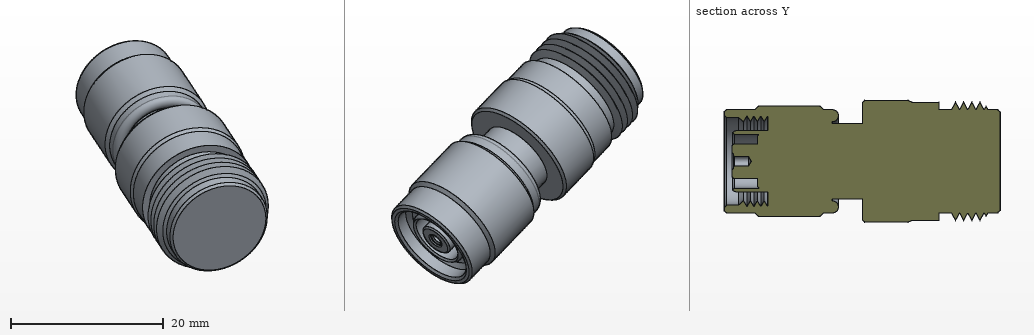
import cadquery as cq
import math

LENGTH = 36.1

NUT_RADIUS = 6.8
NUT_END_CHAMFER = 0.3
GRIP_RADIUS = 7.25
GRIP_START = 4.0
GRIP_END = 13.0
GRIP_BEVEL = GRIP_RADIUS - NUT_RADIUS
RIM_ROUND_START = 14.15
RIM_ROUND = 0.812

NECK_RADIUS = 4.98
BODY_START = 18.05
BODY_RADIUS = 7.995
BODY_CHAMFER = 0.32
BODY_END = 24.05
COLLAR_START = 24.6
COLLAR_END = 28.1
COLLAR_RADIUS = 7.75

TAIL_RADIUS = 6.8
TAIL_CHAMFER = 0.32
THREAD_START = 29.7
THREAD_SPAN = 4.25
THREAD_COUNT = 4
THREAD_PITCH = THREAD_SPAN / THREAD_COUNT
THREAD_CREST = 7.8
RUNOUT_WIDTH = 0.55
RUNOUT_CREST = 7.22

MOUTH_RADIUS = 6.03
MOUTH_CHAMFER = 0.32
BORE_RADIUS = MOUTH_RADIUS - MOUTH_CHAMFER
INNER_THREAD_START = 1.88
INNER_THREAD_LEAD = 0.65
INNER_THREAD_PITCH = 0.9
INNER_THREAD_COUNT = 4
INNER_THREAD_CREST = 5.13
INNER_THREAD_ROOT = 5.9
FIRST_CREST = INNER_THREAD_START + INNER_THREAD_LEAD
SOCKET_DEPTH = FIRST_CREST + (INNER_THREAD_COUNT - 0.5) * INNER_THREAD_PITCH

SLEEVE_START = 1.1
SLEEVE_RADIUS = 4.05
SLEEVE_RIM_RADIUS = 3.75
SLEEVE_ROUND_LENGTH = 0.58
SLEEVE_BORE = 3.5
SLEEVE_CHAMFER = SLEEVE_RIM_RADIUS - SLEEVE_BORE

INSULATOR_START = 4.35
INSULATOR_CHAMFER = 0.18
POST_RADIUS = 2.27
POST_CHAMFER = 0.2
POST_START = 1.0

CONTACT_HOLE_RADIUS = 1.1
CONTACT_RECESS = 0.18
CONTACT_RADIUS = 0.95
CONTACT_CHAMFER = 0.18
PIN_RADIUS = 0.58
PIN_DEPTH = 2.15
PIN_POINT_ANGLE = 118.0


def about_axis(outline):
    return outline.revolve(360, (0, 0, 0), (1, 0, 0))


def turned(points):
    """Solid of revolution about X from straight-sided (x, radius) outline points."""
    return about_axis(cq.Workplane("XY").polyline(points).close())


def cylinder(start, end, radius):
    return cq.Workplane("YZ", origin=(start, 0, 0)).circle(radius).extrude(end - start)


def coupling_nut():
    barrel_outline = (
        cq.Workplane("XY")
        .moveTo(0, 0)
        .lineTo(0, NUT_RADIUS - NUT_END_CHAMFER)
        .lineTo(NUT_END_CHAMFER, NUT_RADIUS)
        .lineTo(RIM_ROUND_START, NUT_RADIUS)
        .threePointArc(
            (RIM_ROUND_START + RIM_ROUND, NUT_RADIUS - RIM_ROUND),
            (RIM_ROUND_START, NUT_RADIUS - 2 * RIM_ROUND),
        )
        .lineTo(RIM_ROUND_START, 0)
        .close()
    )
    grip = turned([
        (GRIP_START, 0),
        (GRIP_START, NUT_RADIUS),
        (GRIP_START + GRIP_BEVEL, GRIP_RADIUS),
        (GRIP_END - GRIP_BEVEL, GRIP_RADIUS),
        (GRIP_END, NUT_RADIUS),
        (GRIP_END, 0),
    ])
    return about_axis(barrel_outline).union(grip)


def main_body():
    neck = cylinder(RIM_ROUND_START, BODY_START, NECK_RADIUS)
    body = turned([
        (BODY_START, 0),
        (BODY_START, BODY_RADIUS - BODY_CHAMFER),
        (BODY_START + BODY_CHAMFER, BODY_RADIUS),
        (BODY_END, BODY_RADIUS),
        (COLLAR_START, COLLAR_RADIUS),
        (COLLAR_END, COLLAR_RADIUS),
        (COLLAR_END, 0),
    ])
    return neck.union(body)


def thread_ring(start, width, crest, root):
    """Outline of one V-shaped thread ring after its near root."""
    return [(start + width / 2, crest), (start + width, root)]


def threaded_tail():
    outline = [(COLLAR_END, 0), (COLLAR_END, TAIL_RADIUS), (THREAD_START, TAIL_RADIUS)]
    for ring in range(THREAD_COUNT):
        ring_start = THREAD_START + ring * THREAD_PITCH
        outline += thread_ring(ring_start, THREAD_PITCH, THREAD_CREST, TAIL_RADIUS)
    runout_start = THREAD_START + THREAD_SPAN
    outline += thread_ring(runout_start, RUNOUT_WIDTH, RUNOUT_CREST, TAIL_RADIUS)
    outline += [
        (LENGTH - TAIL_CHAMFER, TAIL_RADIUS),
        (LENGTH, TAIL_RADIUS - TAIL_CHAMFER),
        (LENGTH, 0),
    ]
    return turned(outline)


def socket():
    outline = [
        (0, 0),
        (0, MOUTH_RADIUS),
        (MOUTH_CHAMFER, BORE_RADIUS),
        (INNER_THREAD_START, BORE_RADIUS),
    ]
    for ring in range(INNER_THREAD_COUNT):
        crest = FIRST_CREST + ring * INNER_THREAD_PITCH
        outline.append((crest, INNER_THREAD_CREST))
        outline.append((crest + INNER_THREAD_PITCH / 2, INNER_THREAD_ROOT))
    outline.append((SOCKET_DEPTH, 0))
    return turned(outline)


def contact_sleeve():
    outline = (
        cq.Workplane("XY")
        .moveTo(SLEEVE_START, SLEEVE_RIM_RADIUS)
        .lineTo(SLEEVE_START + SLEEVE_CHAMFER, SLEEVE_BORE)
        .lineTo(SOCKET_DEPTH, SLEEVE_BORE)
        .lineTo(SOCKET_DEPTH, SLEEVE_RADIUS)
        .lineTo(SLEEVE_START + SLEEVE_ROUND_LENGTH, SLEEVE_RADIUS)
        .tangentArcPoint((SLEEVE_START, SLEEVE_RIM_RADIUS), relative=False)
        .close()
    )
    return about_axis(outline)


def insulator():
    base = cylinder(INSULATOR_START, SOCKET_DEPTH, SLEEVE_BORE)
    base = base.faces("<X").chamfer(INSULATOR_CHAMFER)
    post = cylinder(POST_START, SOCKET_DEPTH, POST_RADIUS)
    return base.union(post.faces("<X").chamfer(POST_CHAMFER))


def contact_hole():
    contact_start = POST_START + CONTACT_RECESS
    pin_end = POST_START + PIN_DEPTH
    point_length = PIN_RADIUS / math.tan(math.radians(PIN_POINT_ANGLE / 2))
    return turned([
        (POST_START, 0),
        (POST_START, CONTACT_HOLE_RADIUS),
        (contact_start, CONTACT_RADIUS),
        (contact_start, PIN_RADIUS + CONTACT_CHAMFER),
        (contact_start + CONTACT_CHAMFER, PIN_RADIUS),
        (pin_end, PIN_RADIUS),
        (pin_end + point_length, 0),
    ])


shell = coupling_nut().union(main_body()).union(threaded_tail())
result = shell.cut(socket()).union(contact_sleeve()).union(insulator()).cut(contact_hole())